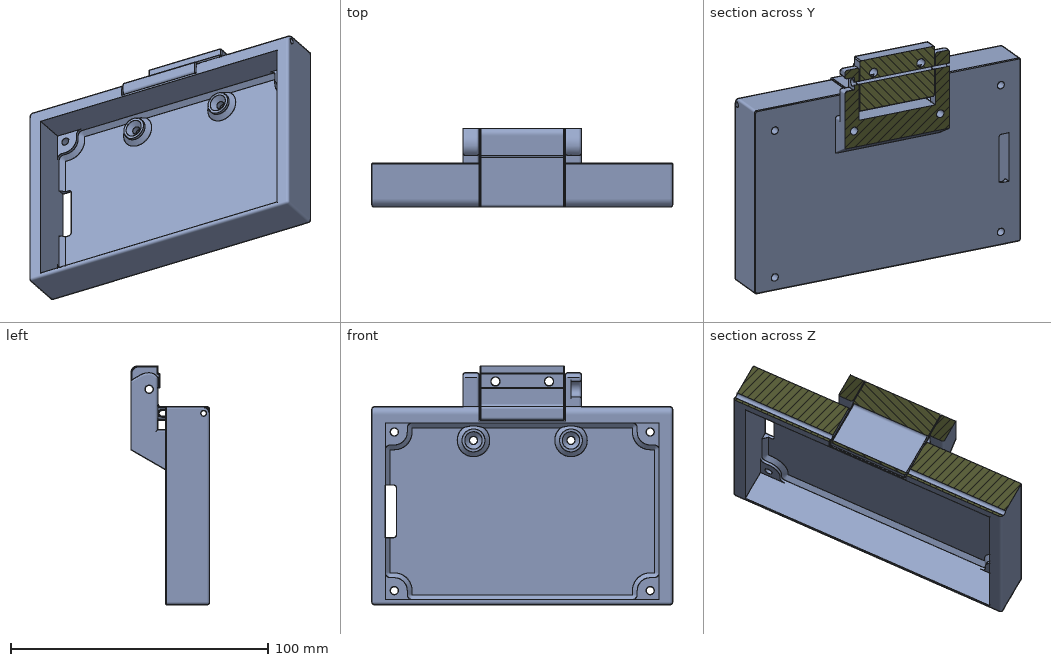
import cadquery as cq
import math


width = 117.0
housing_depth = 17.2
housing_height = 77.0
edge_round = 1.0
back_chamfer = 0.4
top_round = 3.2

cavity_width = 106.5
cavity_bottom = 2.0
cavity_top = 70.7
floor_thickness = 1.2
floor_chamfer = 1.9

boss_height = 3.0
screw_hole = 3.0
corner_inset = 3.5
corner_boss_radius = 5.0
corner_blend = 2.0
bracket_screw_x = 19.0
bracket_screw_z = 63.9
bracket_boss_radius = 4.5
countersink = 6.8
cable_slot_width = 4.3
cable_slot_length = 20.4
cable_slot_round = 1.2

slide_hole = 2.1
slide_pin_y = 2.3
slide_pin_z = housing_height - 2.6

notch_half = 16.7
notch_floor = 71.5

total_height = 92.9
back_y = 30.7
latch_half = 16.5
latch_bottom = 71.7
latch_front_y = 20.0
latch_slot_margin = 0.4
latch_edge = 0.5
latch_back_round = 2.8
latch_lip_round = 1.0
pad_bottom = 84.1
pad_top = 90.1
pad_rise = 0.7
pad_chamfer = 0.4
pad_hole = 3.4
pad_hole_x = 10.4
pad_hole_z = 86.8

arm_outer = 23.0
arm_front_y = 20.1
shelf_z = 68.1
bracket_back_z = 60.3
slope = math.radians(30)
arm_round = 1.0
bracket_edge = 0.4
arm_front_radius = 4.0
arm_back_radius = 7.0
arm_top_z = 90.2
pivot_y = 23.5
pivot_z = 83.8
pivot_hole = 3.0
recess_radius = 2.9
recess_start_x = 19.0
recess_lip_round = 0.7

cavity_half = cavity_width / 2
cavity_floor_y = housing_depth - floor_thickness
boss_top_y = cavity_floor_y - boss_height
bracket_foot_z = bracket_back_z - (back_y - housing_depth) * math.tan(slope)

margin = 0.1


def box(x0, x1, y0, y1, z0, z1):
    """Block between two limits on each axis."""
    return cq.Workplane("XY").box(x1 - x0, y1 - y0, z1 - z0, centered=False).translate((x0, y0, z0))


def hole_x(diameter, y, z):
    """Cylinder along X, longer than the part is wide."""
    return cq.Workplane("YZ").center(y, z).circle(diameter / 2).extrude(width, both=True)


def hole_y(diameter, x, z):
    """Cylinder along Y, through the full depth of the part."""
    return cq.Workplane("XZ").center(x, z).circle(diameter / 2).extrude(-back_y)


def housing_shell():
    """Plain block, rounded everywhere but around the back face, which has a small chamfer."""
    shell = box(-width / 2, width / 2, 0, housing_depth, 0, housing_height)
    shell = shell.edges("<Y and >Z").fillet(top_round)
    ahead_of_back = cq.selectors.BoxSelector(
        (-width, -margin, -margin), (width, housing_depth - margin, housing_height + margin)
    )
    shell = shell.edges("<X or >X or (<Y and <Z)").edges(ahead_of_back).fillet(edge_round)
    return shell.faces(">Y").edges().chamfer(back_chamfer)


def corner_boss(side_x, wall_z, side_z):
    """One corner boss: a block in the cavity corner with its free corner rounded."""
    reach = corner_inset + corner_boss_radius
    x0 = side_x * cavity_half
    block = box(*sorted((x0, x0 - side_x * reach)), boss_top_y, cavity_floor_y,
                *sorted((wall_z, wall_z - side_z * reach)))
    edge = (x0 - side_x * reach, (boss_top_y + cavity_floor_y) / 2, wall_z - side_z * reach)
    return block.edges(cq.selectors.NearestToPointSelector(edge)).fillet(corner_boss_radius)


def bracket_boss(x):
    """Round boss with a 45 degree skirt at the floor."""
    skirt_y = cavity_floor_y - floor_chamfer
    profile = [
        (0, boss_top_y),
        (bracket_boss_radius, boss_top_y),
        (bracket_boss_radius, skirt_y),
        (bracket_boss_radius + floor_chamfer, cavity_floor_y),
        (0, cavity_floor_y),
    ]
    boss = cq.Workplane("XY").polyline(profile).close().revolve(360, (0, 0, 0), (0, 1, 0))
    return boss.translate((x, 0, bracket_screw_z))


def cavity():
    """Space inside the housing; its lower part, around the bosses, is chamfered at the floor."""
    upper = box(-cavity_half, cavity_half, 0, boss_top_y, cavity_bottom, cavity_top)
    lower = box(-cavity_half, cavity_half, boss_top_y, cavity_floor_y, cavity_bottom, cavity_top)
    reach = corner_inset + corner_boss_radius
    for side_x in (-1, 1):
        for wall_z, side_z in ((cavity_bottom, -1), (cavity_top, 1)):
            lower = lower.cut(corner_boss(side_x, wall_z, side_z))
            joints = (
                (side_x * (cavity_half - reach), wall_z),
                (side_x * cavity_half, wall_z - side_z * reach),
            )
            for x, z in joints:
                joint = (x, (boss_top_y + cavity_floor_y) / 2, z)
                lower = lower.edges(cq.selectors.NearestToPointSelector(joint)).fillet(corner_blend)
    lower = lower.faces(">Y").chamfer(floor_chamfer)
    for x in (-bracket_screw_x, bracket_screw_x):
        lower = lower.cut(bracket_boss(x))
    return upper.union(lower)


def countersunk_hole(x):
    """Screw hole with a 90 degree countersink in the top of its boss."""
    depth = (countersink - screw_hole) / 2
    sink = cq.Workplane("XZ", origin=(x, boss_top_y, bracket_screw_z)).circle(countersink / 2)
    sink = sink.workplane(offset=-depth).circle(screw_hole / 2).loft()
    return sink.union(hole_y(screw_hole, x, bracket_screw_z))


def cable_slot():
    """Opening through the floor along the left wall."""
    middle_z = (cavity_bottom + cavity_top) / 2
    half = cable_slot_length / 2
    slot = box(-cavity_half, -cavity_half + cable_slot_width,
               boss_top_y, housing_depth, middle_z - half, middle_z + half)
    return slot.edges("|Y and >X").fillet(cable_slot_round)


def make_housing():
    """Open-fronted box with bosses on its floor and a notch for the latch in its top wall."""
    body = housing_shell().cut(cavity())
    body = body.cut(box(-notch_half, notch_half, 0, housing_depth, notch_floor, housing_height))
    for x in (-cavity_half + corner_inset, cavity_half - corner_inset):
        for z in (cavity_bottom + corner_inset, cavity_top - corner_inset):
            body = body.cut(hole_y(screw_hole, x, z))
    for x in (-bracket_screw_x, bracket_screw_x):
        body = body.cut(countersunk_hole(x))
    body = body.cut(cable_slot())
    return body.cut(hole_x(slide_hole, slide_pin_y, slide_pin_z))


def make_latch():
    """L-shaped latch: a limb lying in the housing notch and an upright block behind it."""
    profile = [
        (0, latch_bottom),
        (0, housing_height),
        (latch_front_y, housing_height),
        (latch_front_y, pad_bottom),
        (latch_front_y - pad_rise, pad_bottom + pad_chamfer),
        (latch_front_y - pad_rise, pad_top - pad_chamfer),
        (latch_front_y, pad_top),
        (latch_front_y, total_height),
        (back_y, total_height),
        (back_y, latch_bottom),
    ]
    body = cq.Workplane("YZ").polyline(profile).close().extrude(latch_half, both=True)
    body = body.edges("|X and >Y and >Z").fillet(latch_back_round)
    inner_corner = (0, latch_front_y, housing_height)
    body = body.edges(cq.selectors.NearestToPointSelector(inner_corner)).fillet(latch_lip_round)
    body = body.edges("|X and <Y").fillet(latch_lip_round)

    slot_back_y = latch_front_y - latch_slot_margin - slide_hole / 2
    body = body.cut(hole_x(slide_hole, slide_pin_y, slide_pin_z))
    body = body.cut(hole_x(slide_hole, slot_back_y, slide_pin_z))
    body = body.cut(box(-width / 2, width / 2, slide_pin_y, slot_back_y,
                        slide_pin_z - slide_hole / 2, slide_pin_z + slide_hole / 2))
    body = body.faces("<X or >X").edges().chamfer(latch_edge)

    body = body.cut(hole_x(pivot_hole, pivot_y, pivot_z))
    for x in (-pad_hole_x, pad_hole_x):
        body = body.cut(hole_y(pad_hole, x, pad_hole_z))
    return body


def arm_blank(x0, x1):
    """One upright arm with a rounded top that falls away to the back."""
    front_centre_z = arm_top_z - arm_front_radius
    back_centre_z = arm_top_z - arm_back_radius
    front_angle = math.asin((pivot_y - arm_front_y) / arm_front_radius)

    def front_arc(angle):
        y = pivot_y - arm_front_radius * math.sin(angle)
        return (y, front_centre_z + arm_front_radius * math.cos(angle))

    def back_arc(angle):
        y = pivot_y + arm_back_radius * math.sin(angle)
        return (y, back_centre_z + arm_back_radius * math.cos(angle))

    tangent_y, tangent_z = back_arc(slope)
    return (
        cq.Workplane("YZ")
        .workplane(offset=x0)
        .moveTo(housing_depth, bracket_foot_z)
        .lineTo(housing_depth, shelf_z)
        .lineTo(arm_front_y, shelf_z)
        .lineTo(*front_arc(front_angle))
        .threePointArc(front_arc(front_angle / 2), (pivot_y, arm_top_z))
        .threePointArc(back_arc(slope / 2), (tangent_y, tangent_z))
        .lineTo(back_y, tangent_z - (back_y - tangent_y) * math.tan(slope))
        .lineTo(back_y, bracket_back_z)
        .close()
        .extrude(x1 - x0)
    )


def pin_head_recess():
    """Round pocket in the right arm's outer side, open to the front, with a flared rim."""
    half_profile = (
        cq.Workplane("XZ", origin=(0, pivot_y, pivot_z))
        .moveTo(recess_start_x, 0)
        .lineTo(recess_start_x, recess_radius)
        .lineTo(arm_outer - arm_round, recess_radius)
        .radiusArc((arm_outer, recess_radius + arm_round), -arm_round)
        .lineTo(arm_outer, 0)
        .close()
    )
    pocket = half_profile.revolve(360, (0, 0, 0), (1, 0, 0))
    upper_mouth = half_profile.toPending().extrude(pivot_y - arm_front_y)
    lower_mouth = upper_mouth.mirror("XY", (0, 0, pivot_z))
    return pocket.union(upper_mouth).union(lower_mouth)


def round_arm(arm, inner_face, outer_face):
    """Round the side edges of an arm from the shelf up, and its outer edges below less."""
    upper = cq.selectors.BoxSelector(
        (-width, housing_depth + margin, shelf_z - margin), (width, back_y - margin, arm_top_z + margin)
    )
    arm = arm.faces(inner_face).edges(upper).fillet(arm_round)
    arm = arm.faces(outer_face).edges(upper).fillet(arm_round)
    lower = cq.selectors.BoxSelector(
        (-width, housing_depth + margin, 0), (width, back_y + margin, shelf_z - arm_round)
    )
    return arm.faces(outer_face).edges(lower).fillet(bracket_edge)


def make_bracket():
    """U-shaped bracket: a web behind the housing with an arm on either side of the latch."""
    web = (
        cq.Workplane("YZ")
        .polyline([
            (housing_depth, bracket_foot_z),
            (housing_depth, shelf_z),
            (back_y, shelf_z),
            (back_y, bracket_back_z),
        ])
        .close()
        .extrude(notch_half, both=True)
    )
    left_arm = round_arm(arm_blank(-arm_outer, -notch_half), ">X", "<X")
    right_arm = round_arm(arm_blank(notch_half, arm_outer), "<X", ">X").cut(pin_head_recess())
    lip_x = (recess_start_x + arm_outer - arm_round) / 2
    for lip_z in (pivot_z - recess_radius, pivot_z + recess_radius):
        lip = cq.selectors.NearestToPointSelector((lip_x, arm_front_y, lip_z))
        right_arm = right_arm.edges(lip).fillet(recess_lip_round)
    body = web.union(left_arm).union(right_arm)
    body = body.cut(hole_x(pivot_hole, pivot_y, pivot_z))
    for x in (-bracket_screw_x, bracket_screw_x):
        body = body.cut(hole_y(screw_hole, x, bracket_screw_z))
    return body


housing = make_housing()
latch = make_latch()
bracket = make_bracket()

result = cq.Compound.makeCompound([housing.solids().val(), latch.solids().val(), bracket.solids().val()])